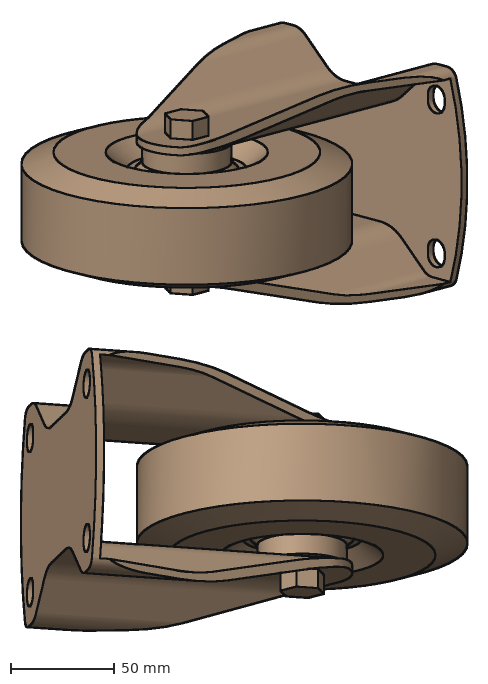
import cadquery as cq
import math


wheel_radius = 80.0
wheel_face_radius = 64.5
wheel_half_width = 25.0
rim_half_width = 19.2
recess_radius = 39.2
recess_floor_radius = 28.9
recess_depth = 8.5

hub_radius = 21.6
foot_radius = 25.0
foot_height = 3.5

sheet = 4.0
total_length = 202.0
plate_back = total_length - wheel_radius
plate_half_width = 69.7
fork_half_height = 110.0 / 2
tip_face = 34.1
tip_radius = 24.2
fork_half_width = 62.0
taper_angle = math.radians(17.9)

valley_half_width = 14.0
valley_run = 12.3
crest_start = 41.2
crest_flat_start = 49.7
crest_flat_end = 55.5
bend_angle = math.radians(41.2)
valley_bend_radius = valley_run / math.sin(bend_angle)
crest_bend_radius = (crest_flat_start - crest_start) / math.sin(bend_angle)

slot_width = 11.5
slot_length = 13.7
slot_x = 52.3
slot_z = 38.5
hex_across_flats = 19.0
bolt_half_length = 43.6

fork_inner_face = tip_face - sheet
crest_inner_face = fork_half_height - sheet


def bend_point(center, radius, angle):
    """Point on a bend, the angle measured from the +Z direction toward +X."""
    x, z = center
    return (x + radius * math.sin(angle), z + radius * math.cos(angle))


def bend_points(inset):
    """Start, middle and end of both bends, on the face lying `inset` below the outer face."""
    valley_center = (valley_half_width, tip_face + valley_bend_radius)
    crest_center = (crest_flat_start, fork_half_height - crest_bend_radius)
    steps = (0, bend_angle / 2, bend_angle)
    valley_radius = valley_bend_radius + inset
    crest_radius = crest_bend_radius - inset
    valley = [bend_point(valley_center, valley_radius, math.pi - a) for a in steps]
    crest = [bend_point(crest_center, crest_radius, -a) for a in reversed(steps)]
    return valley, crest


def mirrored(points):
    return [(-x, z) for x, z in reversed(points)]


def add_bends(sketch, bends):
    """Append bends joined by straight stretches."""
    for start, middle, end in bends:
        sketch = sketch.lineTo(*start).threePointArc(middle, end)
    return sketch


def plate_plane():
    """Section plane at the back of the plate; extrusion goes toward -Y."""
    return cq.Workplane("XZ", origin=(0, plate_back, 0))


def outer_edge(sketch):
    """Bends of the outer fork face, from left to right."""
    valley, crest = bend_points(0)
    return add_bends(sketch, [mirrored(crest), mirrored(valley), valley, crest])


def corner_arc_middle():
    """Middle of the corner round, which leaves the crest flat tangentially."""
    run = fork_half_width - crest_flat_end
    radius = (run**2 + sheet**2) / (2 * sheet)
    half_sweep = math.asin(run / radius) / 2
    return bend_point((crest_flat_end, fork_half_height - radius), radius, half_sweep)


def make_leg():
    """Upper fork leg: a bent sheet trimmed to a taper with a round tip."""
    corner_x, corner_z = corner_arc_middle()
    section = plate_plane().moveTo(-fork_half_width, crest_inner_face)
    section = section.threePointArc((-corner_x, corner_z), (-crest_flat_end, fork_half_height))
    section = outer_edge(section).lineTo(crest_flat_end, fork_half_height)
    section = section.threePointArc((corner_x, corner_z), (fork_half_width, crest_inner_face))
    valley, crest = bend_points(sheet)
    inner_bends = [crest[::-1], valley[::-1], mirrored(valley)[::-1], mirrored(crest)[::-1]]
    sheet_bar = add_bends(section, inner_bends).close().extrude(plate_back + tip_radius)

    tangent_x = tip_radius * math.cos(taper_angle)
    tangent_y = -tip_radius * math.sin(taper_angle)
    taper_end = tangent_y + (fork_half_width - tangent_x) / math.tan(taper_angle)
    silhouette = (
        cq.Workplane("XY")
        .moveTo(-fork_half_width, plate_back)
        .lineTo(-fork_half_width, taper_end)
        .lineTo(-tangent_x, tangent_y)
        .threePointArc((0, -tip_radius), (tangent_x, tangent_y))
        .lineTo(fork_half_width, taper_end)
        .lineTo(fork_half_width, plate_back)
        .close()
        .extrude(fork_half_height)
    )
    return sheet_bar.intersect(silhouette)


def make_plate():
    """Mounting plate following the fork section, with bowed sides and four slots."""
    valley, crest = bend_points(sheet)
    upper = [mirrored(crest), mirrored(valley), valley, crest]
    lower = [[(x, -z) for x, z in reversed(bend)] for bend in reversed(upper)]
    outline = plate_plane().moveTo(-fork_half_width, crest_inner_face)
    outline = add_bends(outline, upper).lineTo(fork_half_width, crest_inner_face)
    outline = outline.threePointArc((plate_half_width, 0), (fork_half_width, -crest_inner_face))
    outline = add_bends(outline, lower).lineTo(-fork_half_width, -crest_inner_face)
    outline = outline.threePointArc((-plate_half_width, 0), (-fork_half_width, crest_inner_face))
    slots = (
        plate_plane()
        .rect(2 * slot_x, 2 * slot_z, forConstruction=True)
        .vertices()
        .slot2D(slot_length, slot_width, 90)
        .extrude(sheet)
    )
    return outline.close().extrude(sheet).cut(slots)


def make_wheel():
    """Wheel, recessed faces and hub, revolved about the Z axis."""
    floor = wheel_half_width - recess_depth
    upper = [
        (hub_radius, fork_inner_face),
        (hub_radius, floor + foot_height),
        (foot_radius, floor),
        (recess_floor_radius, floor),
        (recess_radius, wheel_half_width),
        (wheel_face_radius, wheel_half_width),
        (wheel_radius, rim_half_width),
    ]
    lower = [(r, -z) for r, z in reversed(upper)]
    profile = [(0, fork_inner_face)] + upper + lower + [(0, -fork_inner_face)]
    return cq.Workplane("XZ").polyline(profile).close().revolve(360, (0, 0), (0, 1))


def make_bolt_head():
    """Upper hexagon with corners pointing along Y."""
    across_corners = hex_across_flats / math.cos(math.pi / 6)
    hexagon = cq.Workplane("XY", origin=(0, 0, tip_face)).polygon(6, across_corners)
    return hexagon.extrude(bolt_half_length - tip_face).rotate((0, 0, 0), (0, 0, 1), 30)


upper_side = make_leg().union(make_bolt_head())
lower_side = upper_side.mirror("XY")
result = make_plate().union(upper_side).union(lower_side).union(make_wheel())